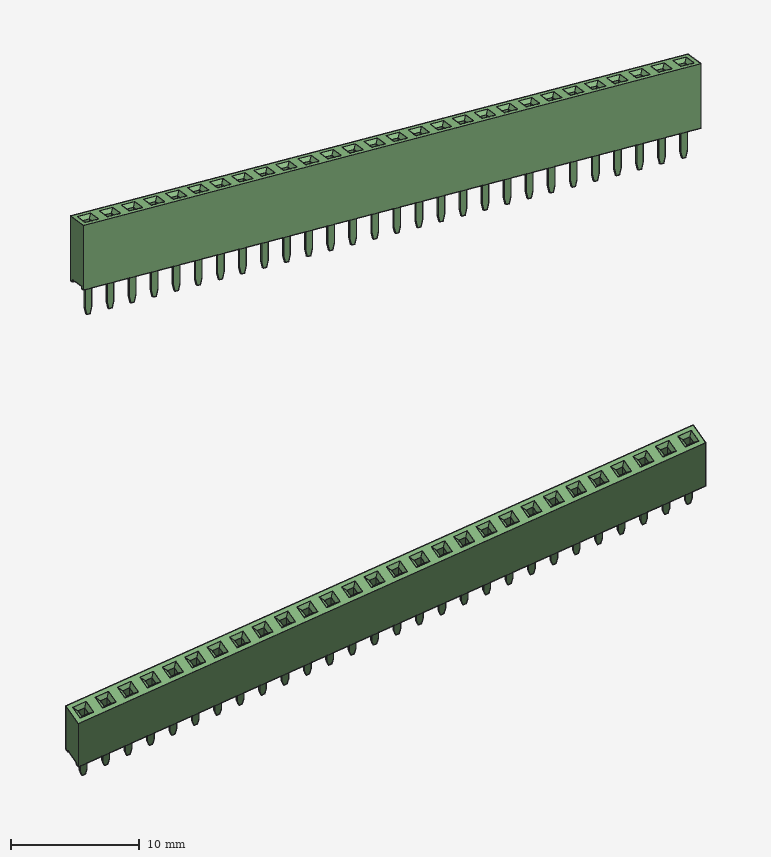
import cadquery as cq

position_count = 28
pitch = 2.0

body_width = 2.0
body_length = position_count * pitch
body_height = 5.6

rail_width = body_width / 6
channel_width = body_width - 2 * rail_width
channel_depth = 0.2

lead_in_width = 1.2
hole_width = 0.6
lead_in_depth = (lead_in_width - hole_width) / 2
socket_depth = 3.0
socket_floor_z = body_height - socket_depth

blade_width = 0.48
blade_height = 1.0

pin_thickness = 0.2
pin_width = 0.6
pin_length = 2.7
tip_length = 0.6
tip_width = 0.3

first_position_y = -(position_count - 1) * pitch / 2
position_centres = [(0, first_position_y + index * pitch) for index in range(position_count)]


def make_body():
    """Rectangular bar with a channel running along its underside."""
    from_base = (True, True, False)
    bar = cq.Workplane("XY").box(body_width, body_length, body_height, centered=from_base)
    channel = cq.Workplane("XY").box(channel_width, body_length, channel_depth, centered=from_base)
    return bar.cut(channel)


def make_socket():
    """Cutter for one socket: a tapered square lead-in above a straight square hole."""
    lead_in = (
        cq.Workplane("XY", origin=(0, 0, body_height))
        .rect(lead_in_width, lead_in_width)
        .workplane(offset=-lead_in_depth)
        .rect(hole_width, hole_width)
        .loft(ruled=True)
    )
    hole = (
        cq.Workplane("XY", origin=(0, 0, socket_floor_z))
        .rect(hole_width, hole_width)
        .extrude(socket_depth - lead_in_depth)
    )
    return lead_in.union(hole)


def make_blade():
    """Contact blade rising from the socket floor."""
    return (
        cq.Workplane("XY", origin=(0, 0, socket_floor_z))
        .rect(pin_thickness, blade_width)
        .extrude(blade_height)
    )


def make_pin():
    """Flat pin hanging from the channel roof, its tip narrowed along the row."""
    shoulder_z = tip_length - pin_length
    return (
        cq.Workplane("YZ")
        .moveTo(-pin_width / 2, channel_depth)
        .lineTo(-pin_width / 2, shoulder_z)
        .lineTo(-tip_width / 2, -pin_length)
        .lineTo(tip_width / 2, -pin_length)
        .lineTo(pin_width / 2, shoulder_z)
        .lineTo(pin_width / 2, channel_depth)
        .close()
        .extrude(pin_thickness / 2, both=True)
    )


def at_every_position(shape):
    """Copies of one shape at all socket positions."""
    return cq.Workplane("XY").pushPoints(position_centres).eachpoint(shape.val(), combine=False)


sockets = at_every_position(make_socket())
blades = at_every_position(make_blade())
pins = at_every_position(make_pin())
result = make_body().cut(sockets).union(blades).union(pins)